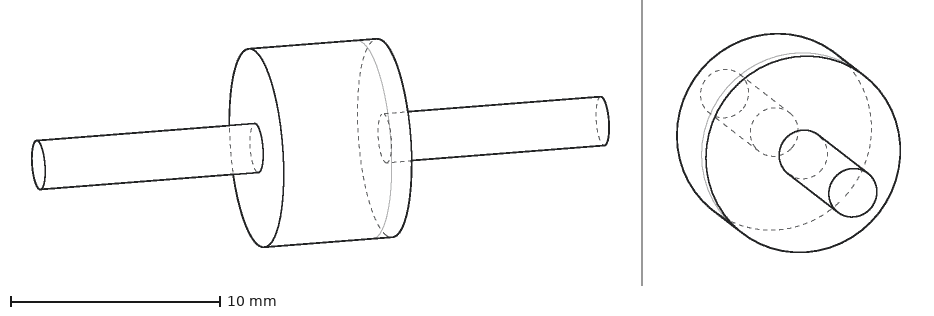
import cadquery as cq

overall_length = 28.0
body_diameter = 9.52
body_length = 6.35
band_length = 1.0
lead_diameter = 2.35

body_front = -body_length / 2
body_back = body_length / 2
band_start = body_back - band_length


def cylinder_along_y(diameter, y_start, y_end):
    """Solid cylinder on the Y axis between two Y positions."""
    plane = cq.Plane(origin=(0, y_start, 0), xDir=(1, 0, 0), normal=(0, 1, 0))
    return cq.Workplane(plane).circle(diameter / 2).extrude(y_end - y_start)


body = cylinder_along_y(body_diameter, body_front, band_start)
band = cylinder_along_y(body_diameter, band_start, body_back)
front_lead = cylinder_along_y(lead_diameter, -overall_length / 2, body_front)
back_lead = cylinder_along_y(lead_diameter, body_back, overall_length / 2)

result = (
    body.union(band, clean=False)
    .union(front_lead, clean=False)
    .union(back_lead, clean=False)
)